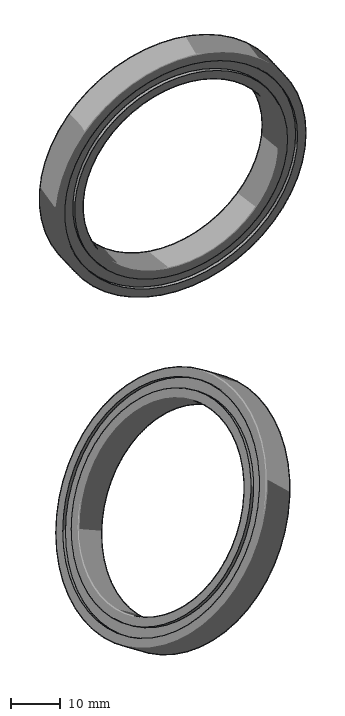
import cadquery as cq

outer_diameter = 58.0
bore_diameter = 45.0
width = 7.0
edge_radius = 0.3

recess_radial_width = 2.3
recess_depth = 0.8
pitch_diameter = (outer_diameter + bore_diameter) / 2
recess_outer_diameter = pitch_diameter + recess_radial_width
recess_inner_diameter = pitch_diameter - recess_radial_width


def ring(outside, inside, length, start):
    """Plain ring along +X, beginning at X = start."""
    return (
        cq.Workplane("YZ", origin=(start, 0, 0))
        .circle(outside / 2)
        .circle(inside / 2)
        .extrude(length)
    )


left_face = -width / 2
right_face = width / 2
body = ring(outer_diameter, bore_diameter, width, left_face)
result = body.edges("%CIRCLE").fillet(edge_radius)

for recess_start in (left_face, right_face - recess_depth):
    recess = ring(recess_outer_diameter, recess_inner_diameter, recess_depth, recess_start)
    result = result.cut(recess)